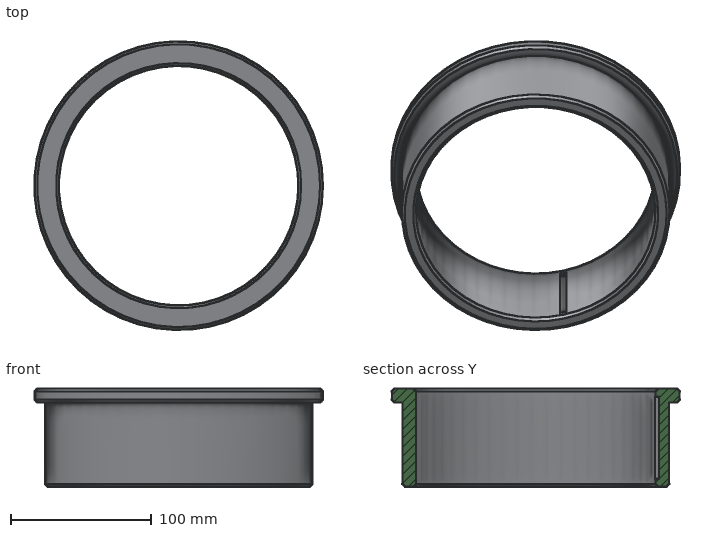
import cadquery as cq

flange_diameter = 205.0
sleeve_diameter = 190.0
bore_diameter = 170.0
height = 70.0
flange_thickness = 10.0
chamfer = 2.0

groove_diameter = 5.0
groove_end_margin = 6.0

flange_radius = flange_diameter / 2
sleeve_radius = sleeve_diameter / 2
bore_radius = bore_diameter / 2
flange_bottom = height - flange_thickness


def make_sleeve():
    """Revolve the chamfered wall section about Z, with its base at Z = 0."""
    section = [
        (bore_radius + chamfer, 0),
        (sleeve_radius - chamfer, 0),
        (sleeve_radius, chamfer),
        (sleeve_radius, flange_bottom),
        (flange_radius - chamfer, flange_bottom),
        (flange_radius, flange_bottom + chamfer),
        (flange_radius, height - chamfer),
        (flange_radius - chamfer, height),
        (bore_radius + chamfer, height),
        (bore_radius, height - chamfer),
        (bore_radius, chamfer),
    ]
    return cq.Workplane("XZ").polyline(section).close().revolve(360, (0, 0), (0, 1))


def make_groove_cutter():
    """Upright cylinder centred on the bore wall, cutting a half-round groove."""
    length = height - 2 * groove_end_margin
    return (
        cq.Workplane("XY")
        .workplane(offset=groove_end_margin)
        .center(bore_radius, 0)
        .circle(groove_diameter / 2)
        .extrude(length)
    )


result = make_sleeve().cut(make_groove_cutter())